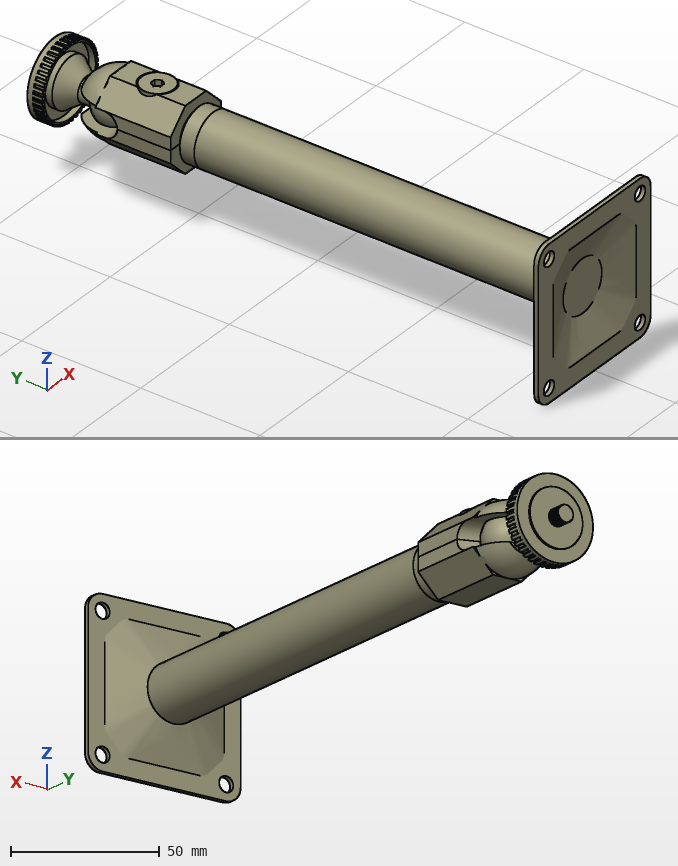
import cadquery as cq
import math


PLATE_SIDE = 63.5
PLATE_THICKNESS = 1.9
PLATE_CORNER_RADIUS = 6.0
SCREW_HOLE_DIAMETER = 5.8
DISH_TOP_Y = 7.2
DISH_FLOOR_Y = 5.0
DISH_OUTER_HALF_WIDTH = 24.9
DISH_INNER_HALF_WIDTH = 23.5
DISH_CHAMFER = 8.1
DISH_ROUND_TANGENT = 2.0
DISH_SIDE_ARC = 32
DISH_CHAMFER_ARC = 7.6

TUBE_RADIUS = 11.0
TUBE_TOP_Y = 159.8
COLLAR_TOP_Y = 165.9
COLLAR_NECK_RADIUS = 9.0

BALL_Y = 199.8

JAW_BACK_Y = 167.2
JAW_SHOULDER_Y = 198.8
JAW_FRONT_Y = 210.0
JAW_INRADIUS = 28.5 / 2
JAW_SHIFT = 0.7
JAW_TOP_Z = JAW_INRADIUS - JAW_SHIFT
DOME_RADIUS = 14.6
DOME_SHIFT = 1.05
SLOT_HALF_WIDTH = 10.5 / 2
SLOT_SWING = 108

SCREW_Y = 183.3
SCREW_HEAD_RADIUS = 6.7
SCREW_POCKET_RADIUS = 7.2
SCREW_HEAD_HEIGHT = 4.6
SOCKET_CORNER_DIAMETER = 4.6
SOCKET_DEPTH = 2.3

BALL_RADIUS = 9.8
NECK_RADIUS = 5.0
CONE_START_Y = 213.0
CONE_RADIUS = 10.2
STUD_RADIUS = 6.3 / 2
STUD_TOP_Y = 232.3
THREAD_PITCH = 1.0
THREAD_DEPTH = 0.2

WHEEL_BOTTOM_Y = 220.0
WHEEL_TOP_Y = 226.3
WHEEL_RADIUS = 15.8
WHEEL_BOSS_RADIUS = 11.0
WHEEL_BOSS_TOP_Y = 227.0
RECESS_RADIUS = 14.5
RECESS_TOP_Y = 222.8
KNURL_COUNT = 40
KNURL_TOP_Y = 224.0
KNURL_WIDTH = 1.2
KNURL_DEPTH = 0.7


def rod(radius, start_y, end_y):
    """Cylinder on the Y axis."""
    return cq.Workplane("XZ", origin=(0, start_y, 0)).circle(radius).extrude(start_y - end_y)


def turned(points):
    """Solid of revolution about Y from a closed (radius, y) outline."""
    return cq.Workplane("XY").polyline(points).close().revolve(360, (0, 0, 0), (0, 1, 0))


def turn_about_y(x, z, y, degrees):
    """Point (x, y, z) turned about the Y axis."""
    angle = math.radians(degrees)
    return cq.Vector(x * math.cos(angle) - z * math.sin(angle), y, x * math.sin(angle) + z * math.cos(angle))


def dish_outline(half_width, y):
    """Square with cut and rounded corners."""
    vertex = half_width - DISH_CHAMFER
    side_end = vertex - DISH_ROUND_TANGENT
    leg = DISH_ROUND_TANGENT * math.sqrt(0.5)
    edges = []
    quarter_points = [
        (half_width, -side_end), (half_width, side_end), (half_width, vertex),
        (half_width - leg, vertex + leg), (vertex + leg, half_width - leg),
        (vertex, half_width), (side_end, half_width),
    ]
    for quarter in range(4):
        points = [turn_about_y(x, z, y, 90 * quarter) for x, z in quarter_points]
        side_start, side_stop, first_vertex, cut_start, cut_stop, second_vertex, next_side = points
        edges.append(cq.Edge.makeLine(side_start, side_stop))
        edges.append(round_corner(side_stop, first_vertex, cut_start))
        edges.append(cq.Edge.makeLine(cut_start, cut_stop))
        edges.append(round_corner(cut_stop, second_vertex, next_side))
    return cq.Wire.assembleEdges(edges)


def round_corner(start, vertex, end):
    """Arc tangent to the two edges that would meet at the vertex."""
    return cq.Edge.makeTangentArc(start, vertex - start, end)


def dish_rim(y):
    """Circle split into arcs that pair with the edges of the dish outline."""
    stops = [-DISH_SIDE_ARC, DISH_SIDE_ARC, 45 - DISH_CHAMFER_ARC, 45 + DISH_CHAMFER_ARC]
    angles = [90 * quarter + stop for quarter in range(4) for stop in stops] + [360 - DISH_SIDE_ARC]
    edges = []
    for start, end in zip(angles, angles[1:]):
        ends = [turn_about_y(TUBE_RADIUS, 0, y, angle) for angle in (start, (start + end) / 2, end)]
        edges.append(cq.Edge.makeThreePointArc(*ends))
    return cq.Wire.assembleEdges(edges)


def dish(half_width, base_y, rim_y):
    """Ruled body from the square outline up to the tube circle."""
    loft = cq.Solid.makeLoft([dish_outline(half_width, base_y), dish_rim(rim_y)], True)
    return cq.Workplane(loft)


def make_wall_plate():
    flange = (
        cq.Workplane("XZ").rect(PLATE_SIDE, PLATE_SIDE).extrude(-PLATE_THICKNESS)
        .edges("|Y").fillet(PLATE_CORNER_RADIUS)
    )
    plate = flange.union(dish(DISH_OUTER_HALF_WIDTH, PLATE_THICKNESS, DISH_TOP_Y))
    plate = plate.cut(dish(DISH_INNER_HALF_WIDTH, 0, DISH_FLOOR_Y))
    spacing = PLATE_SIDE - 2 * PLATE_CORNER_RADIUS
    holes = (
        cq.Workplane("XZ").rect(spacing, spacing, forConstruction=True).vertices()
        .circle(SCREW_HOLE_DIAMETER / 2).extrude(-PLATE_THICKNESS)
    )
    return plate.cut(holes)


def make_tube():
    return rod(TUBE_RADIUS, DISH_TOP_Y, TUBE_TOP_Y)


def make_collar():
    return rod(TUBE_RADIUS, TUBE_TOP_Y, COLLAR_TOP_Y).union(rod(COLLAR_NECK_RADIUS, COLLAR_TOP_Y, JAW_BACK_Y))


def ball():
    """Ball of the stud, also the shape of its seat in the jaws."""
    return cq.Workplane("XY", origin=(0, BALL_Y, 0)).sphere(BALL_RADIUS)


def swing_slot():
    """Room for the neck as it swings about Z through the ball centre, with round ends."""
    reach = 2 * JAW_INRADIUS
    swing = math.radians(SLOT_SWING)
    side_x, side_y = reach * math.sin(swing), reach * math.cos(swing)
    slot = (
        cq.Workplane("XY", origin=(0, BALL_Y, -SLOT_HALF_WIDTH))
        .lineTo(side_x, side_y).threePointArc((0, reach), (-side_x, side_y)).close()
        .extrude(2 * SLOT_HALF_WIDTH)
    )
    for side in (-1, 1):
        end = cq.Solid.makeCylinder(
            SLOT_HALF_WIDTH, reach, cq.Vector(0, BALL_Y, 0), cq.Vector(side * side_x, side_y, 0)
        )
        slot = slot.union(cq.Workplane(end))
    return slot


def screw_pocket():
    """Recess in the top flat of the upper jaw for the screw head."""
    return (
        cq.Workplane("XY", origin=(0, SCREW_Y, JAW_TOP_Z))
        .circle(SCREW_POCKET_RADIUS).extrude(-SCREW_HEAD_HEIGHT)
    )


def octagon_bar(side, start_y, end_y):
    """Regular octagon with flats square to X and Z, shifted towards the split plane."""
    corner_diameter = 2 * JAW_INRADIUS / math.cos(math.pi / 8)
    bar = cq.Workplane("XZ", origin=(0, start_y, 0)).polygon(8, corner_diameter).extrude(start_y - end_y)
    return bar.rotate((0, 0, 0), (0, 1, 0), 22.5).translate((0, 0, -side * JAW_SHIFT))


def make_jaw(side):
    """Upper jaw for side = 1, lower jaw for side = -1."""
    block = octagon_bar(side, JAW_BACK_Y, JAW_SHOULDER_Y)
    dome = cq.Workplane("XY", origin=(0, JAW_SHOULDER_Y, -side * DOME_SHIFT)).sphere(DOME_RADIUS)
    dome = dome.intersect(octagon_bar(side, JAW_SHOULDER_Y, JAW_FRONT_Y))
    half_space = (
        cq.Workplane("XZ", origin=(0, JAW_FRONT_Y, side * JAW_INRADIUS))
        .rect(4 * JAW_INRADIUS, 2 * JAW_INRADIUS).extrude(JAW_FRONT_Y - JAW_BACK_Y)
    )
    jaw = block.union(dome).intersect(half_space)
    jaw = jaw.cut(ball()).cut(swing_slot())
    return jaw.cut(screw_pocket()) if side > 0 else jaw


def make_clamp_screw():
    head = (
        cq.Workplane("XY", origin=(0, SCREW_Y, JAW_TOP_Z))
        .circle(SCREW_HEAD_RADIUS).extrude(-SCREW_HEAD_HEIGHT)
    )
    return head.faces(">Z").workplane().polygon(6, SOCKET_CORNER_DIAMETER).cutBlind(-SOCKET_DEPTH)


def make_ball_stud():
    cone = turned([
        (0, CONE_START_Y), (NECK_RADIUS, CONE_START_Y), (CONE_RADIUS, WHEEL_BOTTOM_Y), (0, WHEEL_BOTTOM_Y),
    ])
    stud = ball().union(rod(NECK_RADIUS, BALL_Y, CONE_START_Y)).union(cone)
    stud = stud.union(rod(STUD_RADIUS, WHEEL_BOTTOM_Y, STUD_TOP_Y))
    root_radius = STUD_RADIUS - THREAD_DEPTH
    groove_count = int((STUD_TOP_Y - WHEEL_BOSS_TOP_Y) / THREAD_PITCH)
    for number in range(groove_count):
        crest = STUD_TOP_Y - number * THREAD_PITCH
        groove = turned([
            (STUD_RADIUS, crest),
            (root_radius, crest - THREAD_PITCH / 2),
            (STUD_RADIUS, crest - THREAD_PITCH),
        ])
        stud = stud.cut(groove)
    return stud


def make_wheel():
    wheel = rod(WHEEL_RADIUS, WHEEL_BOTTOM_Y, WHEEL_TOP_Y)
    wheel = wheel.union(rod(WHEEL_BOSS_RADIUS, WHEEL_TOP_Y, WHEEL_BOSS_TOP_Y))
    hub = rod(CONE_RADIUS, WHEEL_BOTTOM_Y, RECESS_TOP_Y)
    wheel = wheel.cut(rod(RECESS_RADIUS, WHEEL_BOTTOM_Y, RECESS_TOP_Y).cut(hub))
    wheel = wheel.cut(rod(STUD_RADIUS, WHEEL_BOTTOM_Y, WHEEL_BOSS_TOP_Y))
    notches = (
        cq.Workplane("XZ", origin=(0, WHEEL_BOTTOM_Y, 0))
        .polarArray(WHEEL_RADIUS, 0, 360, KNURL_COUNT)
        .rect(2 * KNURL_DEPTH, KNURL_WIDTH).extrude(WHEEL_BOTTOM_Y - KNURL_TOP_Y)
    )
    return wheel.cut(notches)


wall_plate = make_wall_plate()
tube = make_tube()
collar = make_collar()
jaws = [make_jaw(side) for side in (1, -1)]
clamp_screw = make_clamp_screw()
ball_stud = make_ball_stud()
wheel = make_wheel()

result = cq.Compound.makeCompound([
    wall_plate.val(), tube.val(), collar.val(), *[jaw.val() for jaw in jaws],
    clamp_screw.val(), ball_stud.val(), wheel.val(),
])